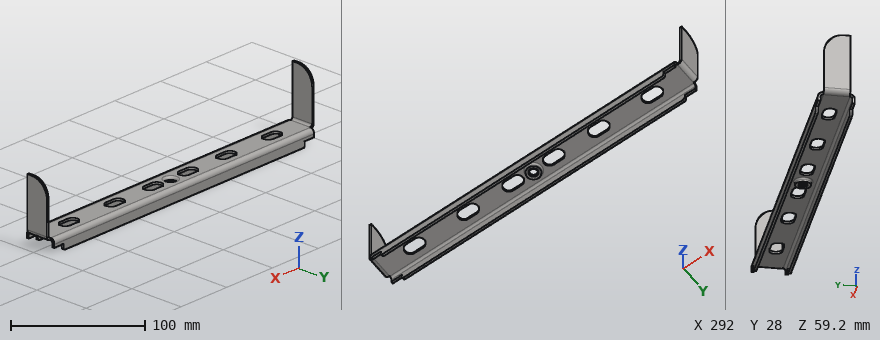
import cadquery as cq

thickness = 2.0
bend_inner_radius = 2.0
bend_outer_radius = bend_inner_radius + thickness

overall_length = 292.0
overall_height = 59.22
channel_length = overall_length - 2 * bend_outer_radius
channel_width = 28.0
channel_height = 12.22
web_width = channel_width - 2 * bend_outer_radius

notch_length = 10.0
notch_height = 5.0
flange_corner_radius = 2.0

ear_corner_radius = 15.0

slot_length = 18.0
slot_width = 10.0
slot_offsets = (19.0, 61.0, 111.0)

collar_mouth_diameter = 13.0
collar_entry_radius = 2.5
collar_root_radius = 1.25
thread_minor_diameter = 6.65
thread_pitch = 1.25
collar_outer_diameter = 12.0
collar_depth = 5.2

web_bottom = channel_height - thickness
collar_bottom = channel_height - collar_depth
thread_top = channel_height - collar_entry_radius
thread_turns = int((thread_top - collar_bottom) / thread_pitch)


def make_channel():
    """Inverted U section with rounded bends, running along X."""
    outer = (
        cq.Workplane("XY")
        .box(channel_length, channel_width, channel_height, centered=(True, True, False))
        .edges("|X and >Z")
        .fillet(bend_outer_radius)
    )
    inner = (
        cq.Workplane("XY")
        .box(channel_length, channel_width - 2 * thickness, web_bottom, centered=(True, True, False))
        .edges("|X and >Z")
        .fillet(bend_inner_radius)
    )
    return outer.cut(inner)


def make_flange_trim():
    """Material removed below the notch line at both ends of the flanges."""
    lower_length = channel_length - 2 * notch_length
    band = cq.Workplane("XY").box(
        channel_length, channel_width, notch_height, centered=(True, True, False)
    )
    kept = (
        cq.Workplane("XY")
        .box(lower_length, channel_width, notch_height, centered=(True, True, False))
        .edges("|Y and <Z")
        .fillet(flange_corner_radius)
    )
    return band.cut(kept)


def make_left_ear():
    """Tab bent up from the web at the -X end, its +Y top corner rounded."""
    web_end = -channel_length / 2
    outer_face = -overall_length / 2
    bend_top = web_bottom + bend_outer_radius
    ear = (
        cq.Workplane("XZ")
        .moveTo(web_end, web_bottom)
        .radiusArc((outer_face, bend_top), bend_outer_radius)
        .lineTo(outer_face, overall_height)
        .lineTo(outer_face + thickness, overall_height)
        .lineTo(outer_face + thickness, bend_top)
        .radiusArc((web_end, channel_height), -bend_inner_radius)
        .close()
        .extrude(web_width / 2, both=True)
    )
    return ear.edges("|X and >Z and >Y").fillet(ear_corner_radius)


def make_slots():
    """Lengthwise slots mirrored about the middle of the web."""
    centres = [(side * offset, 0) for offset in slot_offsets for side in (-1, 1)]
    return (
        cq.Workplane("XY", origin=(0, 0, web_bottom))
        .pushPoints(centres)
        .slot2D(slot_length, slot_width)
        .extrude(thickness)
    )


def make_collar():
    """Drawn collar below the web, flaring into its underside with a concave round."""
    outer_radius = collar_outer_diameter / 2
    return (
        cq.Workplane("XZ")
        .moveTo(0, collar_bottom)
        .lineTo(outer_radius, collar_bottom)
        .lineTo(outer_radius, web_bottom - collar_root_radius)
        .radiusArc((outer_radius + collar_root_radius, web_bottom), collar_root_radius)
        .lineTo(0, web_bottom)
        .close()
        .revolve(360, (0, 0, 0), (0, 1, 0))
    )


def make_collar_opening():
    """Threaded hole, as ring-shaped V grooves, with a convex rounded entry from the web top."""
    minor_radius = thread_minor_diameter / 2
    mouth_radius = collar_mouth_diameter / 2
    major_radius = mouth_radius - collar_entry_radius
    thread_bottom = thread_top - thread_turns * thread_pitch
    profile = (
        cq.Workplane("XZ")
        .moveTo(0, collar_bottom)
        .lineTo(minor_radius, collar_bottom)
        .lineTo(minor_radius, thread_bottom)
    )
    for turn in range(thread_turns):
        groove_start = thread_bottom + turn * thread_pitch
        profile = profile.lineTo(major_radius, groove_start + thread_pitch / 2)
        profile = profile.lineTo(minor_radius, groove_start + thread_pitch)
    return (
        profile.lineTo(major_radius, thread_top)
        .radiusArc((mouth_radius, channel_height), collar_entry_radius)
        .lineTo(0, channel_height)
        .close()
        .revolve(360, (0, 0, 0), (0, 1, 0))
    )


left_ear = make_left_ear()
right_ear = left_ear.mirror("YZ")

result = (
    make_channel()
    .cut(make_flange_trim())
    .union(left_ear)
    .union(right_ear)
    .union(make_collar())
    .cut(make_slots())
    .cut(make_collar_opening())
)